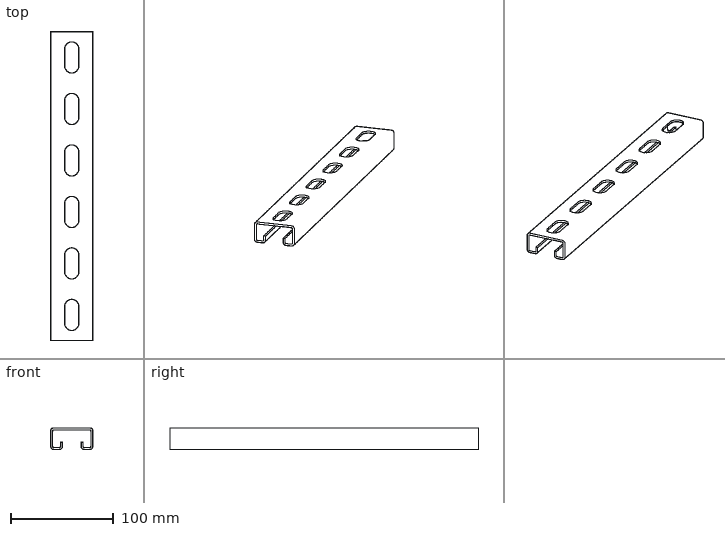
import cadquery as cq

length = 300.0
width = 41.0
height = 21.0

thickness = 2.0
bend_radius = 3.0
inner_bend_radius = bend_radius - thickness
mouth_width = 18.0
lip_height = 7.2
lip_width = (width - mouth_width) / 2

slot_count = 6
slot_length = 30.0
slot_width = 13.5
slot_pitch = length / slot_count


def bar(x_size, z_size, x_center, z_center):
    """Full-length rectangular bar centred on the given X and Z."""
    return cq.Workplane("XY").box(x_size, length, z_size).translate((x_center, 0, z_center))


def rounded_bar(x_size, z_size, radius):
    """Full-length bar with its four long edges rounded, centred at the origin."""
    return bar(x_size, z_size, 0, 0).edges("|Y").fillet(radius)


def channel_body():
    """Rounded tube with an open mouth below."""
    outer = rounded_bar(width, height, bend_radius)
    inner = rounded_bar(width - 2 * thickness, height - 2 * thickness, inner_bend_radius)
    mouth = bar(mouth_width + 2 * bend_radius, height, 0, thickness - height)
    return outer.cut(inner).cut(mouth)


def folded_flange(side):
    """Bottom flange with its upturned lip; side is -1 or 1."""
    flange_center = side * (width - lip_width) / 2
    block = bar(lip_width, lip_height, flange_center, (lip_height - height) / 2)
    block = block.edges("|Y and <Z").fillet(bend_radius)
    channel_height = lip_height - thickness
    channel = bar(lip_width - 2 * thickness, channel_height, flange_center,
                  -height / 2 + thickness + channel_height / 2)
    channel = channel.edges("|Y and <Z").fillet(inner_bend_radius)
    return block.cut(channel)


def web_slots():
    """Row of evenly spaced slots through the top web."""
    return (
        cq.Workplane("XY", origin=(0, 0, height / 2 - thickness))
        .rarray(3, slot_pitch, 1, slot_count)
        .slot2D(slot_length, slot_width, 90)
        .extrude(thickness)
    )


body = channel_body()
for side in (-1, 1):
    body = body.union(folded_flange(side))

result = body.cut(web_slots())